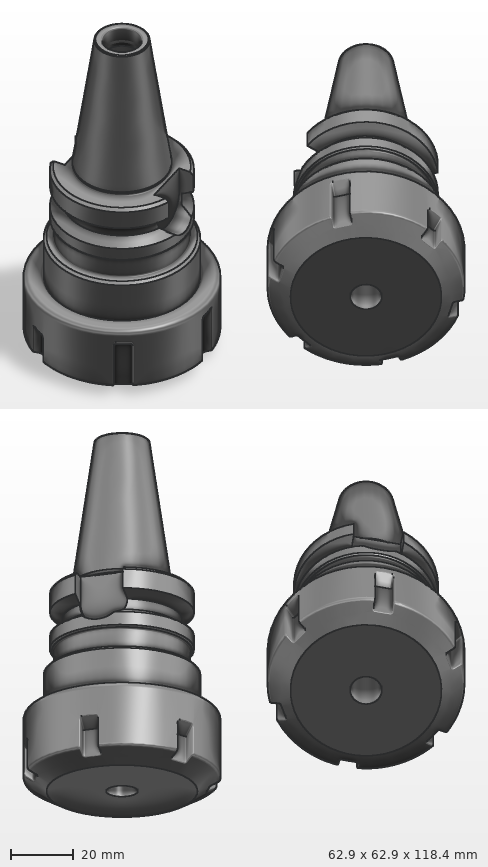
import cadquery as cq
import math

total_height = 118.4

nut_diameter = 62.9
nut_radius = nut_diameter / 2
nut_height = 25.9
nut_top_rounding = 2.0
nut_mouth_rounding = 1.2
nut_base_radius = 24.0
nut_cone_angle = 30.0
nut_bottom_rounding = 1.4

slot_count = 6
slot_width = 6.0
slot_floor_radius = 27.8
slot_floor_rounding = 0.6
slot_edge_rounding = 0.5
short_slot_top = 15.0
tall_slot_top = 21.8

body_radius = 25.0
body_seat = nut_height / 2
body_top = 40.4
body_chamfer = 1.0
neck_radius = 21.8
neck_rounding = 0.6

flange_radius = 23.0
flange_bottom = 47.5
flange_bottom_chamfer = flange_radius - neck_radius - neck_rounding
flange_top = 68.0
flange_top_chamfer = 1.1
groove_radius = 19.1
groove_bottom = 54.7
groove_top = 58.3
flank_angle = 30.0
groove_flank_rise = (flange_radius - groove_radius) * math.tan(math.radians(flank_angle))

keyway_width = 16.1
keyway_floor = 16.3
keyway_bottom = 50.4

taper_ratio = 7 / 24
gauge_height = 70.0
gauge_radius = 15.9
relief_radius = 15.5
relief_cone_top = 69.6
relief_rounding = 0.7
relief_cone_bottom = flange_top + relief_rounding
taper_end_chamfer = 0.4
taper_end_radius = gauge_radius - (total_height - gauge_height) * taper_ratio / 2

bore_diameter = 10.1
bore_radius = bore_diameter / 2
thread_radius = 6.0
pilot_radius = 6.3
pilot_rounding = 0.7
pilot_depth = 5.0
thread_start_depth = 5.8
thread_end_depth = 7.1
thread_cone_half_angle = 30.0
thread_cone_length = (thread_radius - bore_radius) / math.tan(math.radians(thread_cone_half_angle))
thread_cone_depth = thread_end_depth + thread_cone_length

arc_mid = math.sqrt(0.5)


def quarter_round(profile, center, start, end, radius):
    """Add a quarter arc whose start and end are unit directions from its center."""
    mid = [c + radius * arc_mid * (s + e) for c, s, e in zip(center, start, end)]
    stop = [c + radius * e for c, e in zip(center, end)]
    return profile.threePointArc(tuple(mid), tuple(stop))


def revolve_profile(profile):
    """Close a half profile and turn it around the Z axis."""
    return profile.close().revolve(360, (0, 0, 0), (0, 1, 0))


def make_slot_cutter(top):
    """Open-bottomed slot on the +X side with a 45 degree upper end."""
    outer_radius = nut_radius + slot_width
    floor_top = top - (nut_radius - slot_floor_radius)
    cutter = (
        cq.Workplane("XZ")
        .moveTo(slot_floor_radius, -slot_width)
        .lineTo(slot_floor_radius, floor_top)
        .lineTo(outer_radius, floor_top + outer_radius - slot_floor_radius)
        .lineTo(outer_radius, -slot_width)
        .close()
        .extrude(slot_width / 2, both=True)
    )
    floor_sides = cutter.faces("<X").edges("|Z")
    sloped_sides = cutter.edges("not (|X or |Y or |Z)")
    return floor_sides.add(sloped_sides).fillet(slot_floor_rounding)


def is_slot_mouth_side(edge):
    """True for the upright slot edges on the nut's cylindrical side."""
    middle = edge.Center()
    on_side = math.isclose(math.hypot(middle.x, middle.y), nut_radius, abs_tol=0.01)
    return on_side and middle.z < tall_slot_top


def make_nut():
    """Solid nut with tall slots on its +X half and short ones on its -X half."""
    corner_height = (nut_radius - nut_base_radius) * math.tan(math.radians(nut_cone_angle))
    nut = (
        cq.Workplane("XZ")
        .lineTo(nut_base_radius, 0)
        .lineTo(nut_radius, corner_height)
        .lineTo(nut_radius, nut_height)
        .lineTo(0, nut_height)
    )
    nut = revolve_profile(nut)
    nut = nut.edges(cq.selectors.RadiusNthSelector(-1)).edges("<Z").fillet(nut_bottom_rounding)
    nut = nut.faces(">Z").edges().fillet(nut_top_rounding)
    for index in range(slot_count):
        angle = index * 360 / slot_count
        on_tall_half = math.cos(math.radians(angle)) > 0
        top = tall_slot_top if on_tall_half else short_slot_top
        nut = nut.cut(make_slot_cutter(top).rotate((0, 0, 0), (0, 0, 1), angle))
    mouth_edges = nut.edges("|Z").filter(is_slot_mouth_side)
    return mouth_edges.fillet(slot_edge_rounding)


def make_body():
    """Cylindrical body, neck, grooved flange and taper as one turned profile."""
    body = (
        cq.Workplane("XZ")
        .moveTo(0, body_seat)
        .lineTo(body_radius, body_seat)
        .lineTo(body_radius, body_top - body_chamfer)
        .lineTo(body_radius - body_chamfer, body_top)
        .lineTo(neck_radius + neck_rounding, body_top)
    )
    lower_center = (neck_radius + neck_rounding, body_top + neck_rounding)
    body = quarter_round(body, lower_center, (0, -1), (-1, 0), neck_rounding)
    body = body.lineTo(neck_radius, flange_bottom - neck_rounding)
    upper_center = (neck_radius + neck_rounding, flange_bottom - neck_rounding)
    body = quarter_round(body, upper_center, (-1, 0), (0, 1), neck_rounding)
    body = (
        body.lineTo(flange_radius, flange_bottom + flange_bottom_chamfer)
        .lineTo(flange_radius, groove_bottom - groove_flank_rise)
        .lineTo(groove_radius, groove_bottom)
        .lineTo(groove_radius, groove_top)
        .lineTo(flange_radius, groove_top + groove_flank_rise)
        .lineTo(flange_radius, flange_top - flange_top_chamfer)
        .lineTo(flange_radius - flange_top_chamfer, flange_top)
        .lineTo(relief_radius + relief_rounding, flange_top)
    )
    relief_center = (relief_radius + relief_rounding, relief_cone_bottom)
    body = quarter_round(body, relief_center, (0, -1), (-1, 0), relief_rounding)
    body = (
        body.lineTo(gauge_radius, relief_cone_top)
        .lineTo(gauge_radius, gauge_height)
        .lineTo(taper_end_radius, total_height)
        .lineTo(0, total_height)
    )
    return revolve_profile(body).faces(">Z").edges().chamfer(taper_end_chamfer)


def make_keyway_cutter():
    """Round-bottomed keyway on the +X side, open at the flange top."""
    half_width = keyway_width / 2
    round_center = keyway_bottom + half_width
    return (
        cq.Workplane("YZ", origin=(keyway_floor, 0, 0))
        .moveTo(-half_width, flange_top)
        .lineTo(-half_width, round_center)
        .threePointArc((0, keyway_bottom), (half_width, round_center))
        .lineTo(half_width, flange_top)
        .close()
        .extrude(flange_radius)
    )


def make_mouth_rounding_cutter():
    """Ring that rounds the nut's upper inner edge where it meets the body."""
    outer = body_radius + nut_mouth_rounding
    ring = cq.Workplane("XZ").moveTo(body_radius, nut_height).lineTo(outer, nut_height)
    center = (outer, nut_height - nut_mouth_rounding)
    ring = quarter_round(ring, center, (0, 1), (-1, 0), nut_mouth_rounding)
    return revolve_profile(ring)


def make_bore_cutter():
    """Through bore that widens upward to a thread and a pilot with a rounded mouth."""
    bore = cq.Workplane("XZ").lineTo(bore_radius, 0)
    for radius, depth in (
        (bore_radius, thread_cone_depth),
        (thread_radius, thread_end_depth),
        (thread_radius, thread_start_depth),
        (pilot_radius, pilot_depth),
        (pilot_radius, pilot_rounding),
    ):
        bore = bore.lineTo(radius, total_height - depth)
    center = (pilot_radius + pilot_rounding, total_height - pilot_rounding)
    bore = quarter_round(bore, center, (-1, 0), (0, 1), pilot_rounding)
    return revolve_profile(bore.lineTo(0, total_height))


keyway = make_keyway_cutter()
result = (
    make_nut()
    .cut(make_mouth_rounding_cutter())
    .union(make_body())
    .cut(keyway)
    .cut(keyway.mirror("YZ"))
    .cut(make_bore_cutter())
)